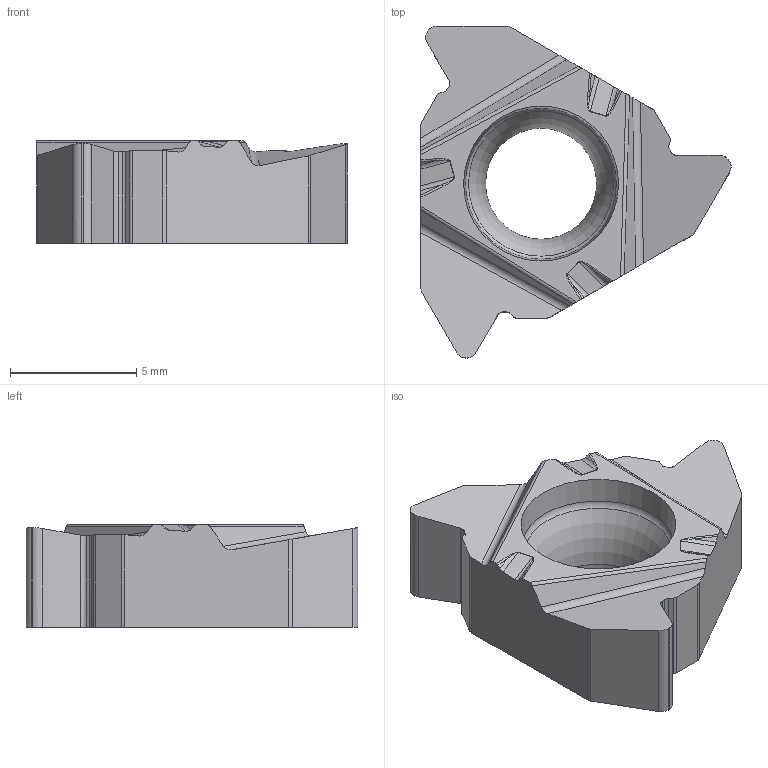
import cadquery as cq
import math

THICKNESS = 4.07
TOOTH_COUNT = 3
SIDE_DISTANCE = 9.525 / 2
SIDE_ANGLE = 60.0
REACH = 20.0

TOOTH_AXIS_X = -2.96
TOOTH_APEX_Y = -7.36
TIP_Y = -6.905
TOOTH_HALF_ANGLE = 30.0
TIP_RADIUS = 0.40
LAND_DISTANCE = 5.328
NOTCH_DEPTH = 0.24
NOTCH_END_X = -1.285
NOTCH_ROOT_RADIUS = 0.23
NOTCH_LIP_RADIUS = 0.17
BODY_CORNER_RADIUS = 0.30

RAKE_ANGLE = 10.0
LAND_HEIGHT = 3.675
WALL_SLOPE = 60.0
WALL_DISTANCE = 3.35
WALL_HEADING = -121.73
GROOVE_RADIUS = 0.31
WALL_EDGE_RADIUS = 0.16

HOLE_RADIUS = 4.4 / 2
SEAT_MOUTH_RADIUS = 3.07
SEAT_WALL_RADIUS = 3.0
SEAT_WALL_DEPTH = 1.0
SEAT_CURVE_RADIUS = 4.0
SEAT_CURVE_TOP_DEPTH = 1.27
SEAT_CURVE_END_DEPTH = 3.5

DIMPLE_DEPTH = 0.245
DIMPLE_LENGTH = 1.28
DIMPLE_HEADING = 15.0
DIMPLE_END_X = -3.526
DIMPLE_END_Y = 0.57
DIMPLE_FLOOR_WIDTH = 0.85
DIMPLE_WALL_SLOPE = 45.0
DIMPLE_FLOOR_RADIUS = 0.25
DIMPLE_CUT_HEIGHT = 1.0
DIMPLE_RIM_RADIUS = 0.10

TOOTH_ANGLES = [i * 360.0 / TOOTH_COUNT for i in range(TOOTH_COUNT)]


def tangent(degrees):
    return math.tan(math.radians(degrees))


def turned(point, degrees):
    """Rotate an XY point about the part axis."""
    angle = math.radians(degrees)
    x, y = point
    return (
        x * math.cos(angle) - y * math.sin(angle),
        x * math.sin(angle) + y * math.cos(angle),
    )


def about_axis(shape, degrees):
    return shape.rotate((0, 0, 0), (0, 0, 1), degrees)


def tooth_corners():
    """Sharp corners of the -Y tooth, counter-clockwise, each with its rounding radius."""
    flank_run = tangent(TOOTH_HALF_ANGLE)
    flank_start_y = TOOTH_APEX_Y + (SIDE_DISTANCE + TOOTH_AXIS_X) / flank_run
    notch_y = NOTCH_DEPTH - LAND_DISTANCE
    notch_start_x = TOOTH_AXIS_X + (notch_y - TOOTH_APEX_Y) * flank_run
    tip_half_width = (TIP_Y - TOOTH_APEX_Y) * flank_run
    next_side = math.radians(SIDE_ANGLE)
    land_end_x = (SIDE_DISTANCE - LAND_DISTANCE * math.sin(next_side)) / math.cos(next_side)
    return [
        ((-SIDE_DISTANCE, flank_start_y), BODY_CORNER_RADIUS),
        ((TOOTH_AXIS_X - tip_half_width, TIP_Y), TIP_RADIUS),
        ((TOOTH_AXIS_X + tip_half_width, TIP_Y), TIP_RADIUS),
        ((notch_start_x, notch_y), NOTCH_ROOT_RADIUS),
        ((NOTCH_END_X, notch_y), NOTCH_LIP_RADIUS),
        ((NOTCH_END_X + NOTCH_DEPTH, -LAND_DISTANCE), NOTCH_LIP_RADIUS),
        ((land_end_x, -LAND_DISTANCE), BODY_CORNER_RADIUS),
    ]


def make_blank():
    corners = [
        (turned(point, angle), radius)
        for angle in TOOTH_ANGLES
        for point, radius in tooth_corners()
    ]
    outline = [point for point, _ in corners]
    blank = cq.Workplane("XY").polyline(outline).close().extrude(THICKNESS)
    for (x, y), radius in corners:
        upright = cq.selectors.NearestToPointSelector((x, y, THICKNESS / 2))
        blank = blank.edges(upright).fillet(radius)
    return blank


def groove_cutter():
    """Space above the rake face and outside the groove wall of the -Y tooth."""
    above_rake = (
        cq.Workplane("XY")
        .box(2 * REACH, 2 * REACH, REACH, centered=(True, True, False))
        .rotate((0, 0, 0), (1, 0, 0), -RAKE_ANGLE)
        .translate((0, -LAND_DISTANCE, LAND_HEIGHT))
    )
    outside_wall = (
        cq.Workplane("XY")
        .box(REACH, REACH, REACH, centered=(False, True, True))
        .rotate((0, 0, 0), (0, 1, 0), WALL_SLOPE - 90)
        .translate((WALL_DISTANCE, 0, THICKNESS))
    )
    cutter = above_rake.intersect(about_axis(outside_wall, WALL_HEADING))
    return cutter.edges("<Z").fillet(GROOVE_RADIUS)


def cut_grooves(body):
    cutter = groove_cutter()
    for angle in TOOTH_ANGLES:
        body = body.cut(about_axis(cutter, angle))
    for angle in TOOTH_ANGLES:
        x, y = turned((WALL_DISTANCE, 0), WALL_HEADING + angle)
        wall_edge = cq.selectors.NearestToPointSelector((x, y, THICKNESS))
        body = body.faces(">Z").edges(wall_edge).fillet(WALL_EDGE_RADIUS)
    return body


def seat_radius(depth):
    """Radius of the convex seat at a depth below the top face."""
    rise = SEAT_CURVE_END_DEPTH - depth
    return HOLE_RADIUS + SEAT_CURVE_RADIUS - math.sqrt(SEAT_CURVE_RADIUS**2 - rise**2)


def seat_cutter():
    middle_depth = (SEAT_CURVE_TOP_DEPTH + SEAT_CURVE_END_DEPTH) / 2
    return (
        cq.Workplane("XZ")
        .moveTo(0, THICKNESS)
        .lineTo(SEAT_MOUTH_RADIUS, THICKNESS)
        .lineTo(SEAT_WALL_RADIUS, THICKNESS - SEAT_WALL_DEPTH)
        .tangentArcPoint(
            (seat_radius(SEAT_CURVE_TOP_DEPTH), THICKNESS - SEAT_CURVE_TOP_DEPTH), relative=False
        )
        .threePointArc(
            (seat_radius(middle_depth), THICKNESS - middle_depth),
            (HOLE_RADIUS, THICKNESS - SEAT_CURVE_END_DEPTH),
        )
        .lineTo(HOLE_RADIUS, 0)
        .lineTo(0, 0)
        .close()
        .revolve(360, (0, 0, 0), (0, 1, 0))
    )


def dimple_cutter():
    """Trapezoidal channel whose floor ramps up to the top face."""
    half_floor = DIMPLE_FLOOR_WIDTH / 2
    half_top = half_floor + DIMPLE_CUT_HEIGHT / tangent(DIMPLE_WALL_SLOPE)
    ramp_angle = math.degrees(math.atan2(DIMPLE_DEPTH, DIMPLE_LENGTH))
    channel = (
        cq.Workplane("YZ")
        .polyline([
            (-half_floor, 0),
            (half_floor, 0),
            (half_top, DIMPLE_CUT_HEIGHT),
            (-half_top, DIMPLE_CUT_HEIGHT),
        ])
        .close()
        .extrude(2 * DIMPLE_LENGTH, both=True)
        .edges("|X and <Z")
        .fillet(DIMPLE_FLOOR_RADIUS)
        .rotate((0, 0, 0), (0, 1, 0), -ramp_angle)
    )
    return about_axis(channel, DIMPLE_HEADING).translate((DIMPLE_END_X, DIMPLE_END_Y, THICKNESS))


def cut_dimples(body):
    cutter = dimple_cutter()
    for angle in TOOTH_ANGLES:
        body = body.cut(about_axis(cutter, angle))
        x, y = turned((DIMPLE_END_X, DIMPLE_END_Y), angle)
        rim_end = cq.selectors.NearestToPointSelector((x, y, THICKNESS))
        body = body.faces(">Z").edges(rim_end).fillet(DIMPLE_RIM_RADIUS)
    return body


result = cut_dimples(cut_grooves(make_blank()).cut(seat_cutter()))